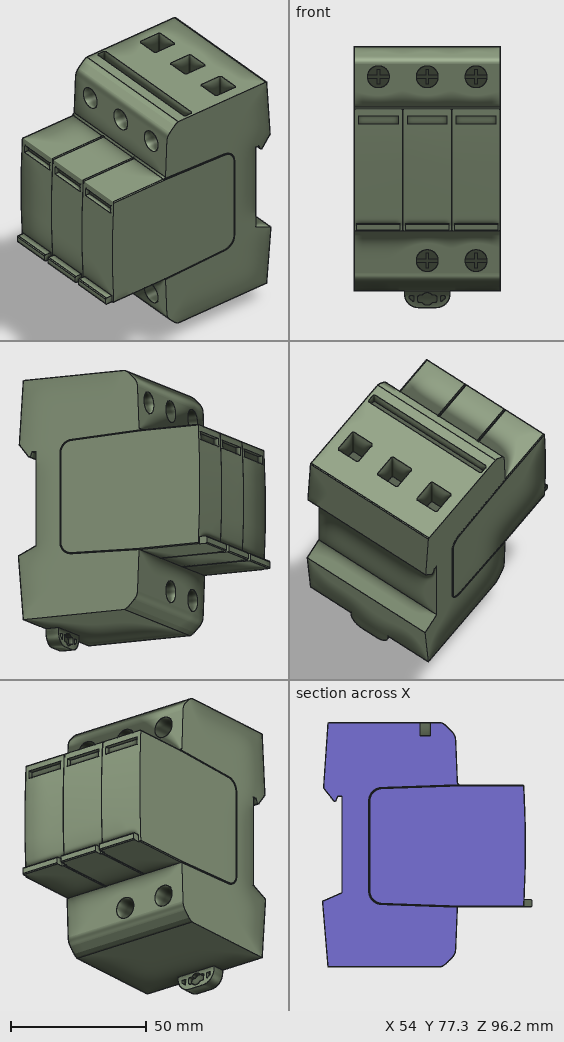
import cadquery as cq


POLES = 3
PITCH = 18.0
WIDTH = POLES * PITCH
HEIGHT = 96.2
BASE_BOTTOM = 6.3
BASE_MID = (HEIGHT + BASE_BOTTOM) / 2
BACK = 5.2
BACK_BEVEL_REACH = 0.5
BACK_BEVEL_DROP = 0.2
TOP_BACK_CORNER_Z = 72.2
TOP_BACK_CORNER_Y = 6.8
LOW_BACK_CORNER_Z = 30.4
LOW_BACK_CORNER_Y = 7.2
HOOK_Y = 2.5
HOOK_Z = 66.7
HOOK_NOTCH_Y = 1.5
HOOK_TIP_RADIUS = 0.6
RAIL_TOP = 69.1
RAIL_BOTTOM = 33.6
FRONT_MID = -43.5
SHOULDER_TOP_Y = -36.6
SHOULDER_Y = -41.9
SHOULDER_DROP = 4.6
SHOULDER_FRONT_RADIUS = 4.8
SHOULDER_FACETS = [(0.5, 0.2), (1.7, 1.1)]

MODULE_BACK = -9.9
MODULE_FRONT = -67.0
MODULE_CROWN = 0.7
MODULE_KNEE_Y = -42.5
MODULE_TOP = 73.2
MODULE_BOTTOM = 28.3
MODULE_MID = (MODULE_TOP + MODULE_BOTTOM) / 2
MODULE_BACK_NARROWING = 1.2
MODULE_BACK_RADIUS = 4.8
MODULE_EDGE = 0.4
MODULE_BROW_RADIUS = 0.43
MODULE_GAP = 0.1

LEDGE_DEPTH = 0.8
LEDGE_HEIGHT = 0.8

WINDOW_WIDTH = 14.7
WINDOW_TOP = 70.7
WINDOW_BOTTOM = 67.65
WINDOW_DEPTH = 1.6
LIP_WIDTH = 16.1
LIP_HEIGHT = 2.8
LIP_FRONT = -70.1
LIP_EDGE = 0.4

SCREW_OFFSET = 33.9
BORE_DIAMETER = 8.1
SCREW_HEAD_Y = -24.1
BLADE_SLOT_HEIGHT = 1.3
CROSS_SLOT_WIDTH = 1.1
CROSS_SLOT_HEIGHT = 5.5
SCREW_SLOT_DEPTH = 1.0

WIRE_PORT_X = 9.2
WIRE_PORT_Y = 9.5
WIRE_PORT_CENTER_Y = -10.5
WIRE_PORT_DEPTH = 14.4
WIRE_PORT_RADIUS = 0.8
LABEL_GROOVE_LENGTH = 51.7
LABEL_GROOVE_WIDTH = 3.8
LABEL_GROOVE_CENTER_X = -0.1
LABEL_GROOVE_CENTER_Y = -30.7
LABEL_GROOVE_DEPTH = 4.8
LABEL_GROOVE_RADIUS = 0.8

TAB_WIDTH = 16.8
TAB_RADIUS = 5.2
TAB_RECESS_DEPTH = 1.9
TAB_SLOT_WIDTH = 7.1
TAB_SLOT_HEIGHT = 2.7
TAB_SLOT_RADIUS = 0.8
TAB_HOLE_RADIUS = 2.3
TAB_HOLE_Z = 3.3
EYE_INNER_X = 4.9
EYE_OUTER_X = 6.6
EYE_TOP = 4.4
EYE_SIDE_BOTTOM = 3.5
EYE_BOTTOM = 2.0
EYE_RADIUS = 0.3

pole_centers = [(i - (POLES - 1) / 2) * PITCH for i in range(POLES)]


def extrude_across_base(points):
    """Extrude a closed (Y, Z) outline over the full width of the base."""
    plane = cq.Workplane("YZ").workplane(offset=-WIDTH / 2)
    return plane.polyline(points).close().extrude(WIDTH)


def box_between(center_x, width, y_range, z_range):
    """Box centred on center_x that spans the given Y and Z ranges."""
    y_min, y_max = y_range
    z_min, z_max = z_range
    corner = (center_x - width / 2, y_min, z_min)
    return cq.Workplane("XY").box(width, y_max - y_min, z_max - z_min, centered=False).translate(corner)


def edges_at(solid, y, z):
    """Edges parallel to X that pass through the (Y, Z) point."""
    near = 0.05
    low = (-WIDTH, y - near, z - near)
    high = (WIDTH, y + near, z + near)
    return solid.edges("|X").edges(cq.selectors.BoxSelector(low, high))


def make_base():
    shoulder_top_z = HEIGHT - SHOULDER_DROP
    shoulder_bottom_z = BASE_BOTTOM + SHOULDER_DROP
    bottom_facets = [(SHOULDER_TOP_Y - reach, BASE_BOTTOM + drop) for reach, drop in SHOULDER_FACETS]
    top_facets = [(SHOULDER_TOP_Y - reach, HEIGHT - drop) for reach, drop in reversed(SHOULDER_FACETS)]
    base = extrude_across_base(
        [
            (BACK - BACK_BEVEL_REACH, HEIGHT),
            (BACK, HEIGHT - BACK_BEVEL_DROP),
            (TOP_BACK_CORNER_Y, TOP_BACK_CORNER_Z),
            (HOOK_Y, HOOK_Z),
            (HOOK_NOTCH_Y, RAIL_TOP),
            (0, RAIL_TOP),
            (0, RAIL_BOTTOM),
            (LOW_BACK_CORNER_Y, LOW_BACK_CORNER_Z),
            (BACK, BASE_BOTTOM),
            (SHOULDER_TOP_Y, BASE_BOTTOM),
            *bottom_facets,
            (SHOULDER_Y, shoulder_bottom_z),
            (FRONT_MID, BASE_MID),
            (SHOULDER_Y, shoulder_top_z),
            *top_facets,
            (SHOULDER_TOP_Y, HEIGHT),
        ]
    )
    base = edges_at(base, HOOK_Y, HOOK_Z).fillet(HOOK_TIP_RADIUS)
    for z in (shoulder_top_z, shoulder_bottom_z):
        base = edges_at(base, SHOULDER_Y, z).fillet(SHOULDER_FRONT_RADIUS)
    return base


def make_ledge():
    return extrude_across_base(
        [
            (MODULE_KNEE_Y, MODULE_TOP),
            (MODULE_KNEE_Y - LEDGE_DEPTH, MODULE_TOP),
            (MODULE_KNEE_Y, MODULE_TOP + LEDGE_HEIGHT),
        ]
    )


def make_module_blank(width, center_x=0.0):
    """Module block: rounded, narrowing back and a slightly crowned front."""
    back_top = MODULE_TOP - MODULE_BACK_NARROWING
    back_bottom = MODULE_BOTTOM + MODULE_BACK_NARROWING
    blank = (
        cq.Workplane("YZ")
        .workplane(offset=center_x - width / 2)
        .moveTo(MODULE_FRONT, MODULE_TOP)
        .lineTo(MODULE_KNEE_Y, MODULE_TOP)
        .lineTo(MODULE_BACK, back_top)
        .lineTo(MODULE_BACK, back_bottom)
        .lineTo(MODULE_KNEE_Y, MODULE_BOTTOM)
        .lineTo(MODULE_FRONT, MODULE_BOTTOM)
        .threePointArc((MODULE_FRONT - MODULE_CROWN, MODULE_MID), (MODULE_FRONT, MODULE_TOP))
        .close()
        .extrude(width)
    )
    for z in (back_top, back_bottom):
        blank = edges_at(blank, MODULE_BACK, z).fillet(MODULE_BACK_RADIUS)
    return blank


def make_module(center_x):
    module = make_module_blank(PITCH, center_x)
    side_rims = module.faces("<X or >X").edges()
    front_rims = cq.selectors.BoxSelector(
        (-WIDTH, MODULE_FRONT - MODULE_CROWN, MODULE_BOTTOM),
        (WIDTH, MODULE_FRONT, MODULE_TOP),
    )
    module = side_rims.edges(cq.selectors.InverseSelector(front_rims)).chamfer(MODULE_EDGE)
    module = edges_at(module, MODULE_FRONT, MODULE_TOP).fillet(MODULE_BROW_RADIUS)

    window_range = (MODULE_FRONT - MODULE_CROWN, MODULE_FRONT + WINDOW_DEPTH)
    window = box_between(center_x, WINDOW_WIDTH, window_range, (WINDOW_BOTTOM, WINDOW_TOP))
    lip_range = (LIP_FRONT, MODULE_FRONT + LIP_EDGE)
    lip = box_between(center_x, LIP_WIDTH, lip_range, (MODULE_BOTTOM, MODULE_BOTTOM + LIP_HEIGHT))
    lip = lip.faces("<Y").edges("|X").chamfer(LIP_EDGE)
    return module.cut(window).union(lip)


def make_screw_bore(center_x, z):
    """Space in front of a screw head, with the head's cross recess."""
    bore_length = SCREW_HEAD_Y - FRONT_MID
    bore = (
        cq.Workplane("XZ", origin=(center_x, SCREW_HEAD_Y, z))
        .circle(BORE_DIAMETER / 2)
        .extrude(bore_length)
    )
    cross = (
        cq.Workplane("XZ", origin=(center_x, SCREW_HEAD_Y, z))
        .rect(CROSS_SLOT_WIDTH, CROSS_SLOT_HEIGHT)
        .extrude(-SCREW_SLOT_DEPTH)
    )
    blade = (
        cq.Workplane("XZ", origin=(center_x, SCREW_HEAD_Y, z))
        .rect(BORE_DIAMETER, BLADE_SLOT_HEIGHT)
        .extrude(-SCREW_SLOT_DEPTH)
        .intersect(bore.translate((0, SCREW_SLOT_DEPTH, 0)))
    )
    return bore.union(cross).union(blade)


def make_top_pocket(center, length_x, length_y, depth, radius):
    """Rounded rectangular pocket opening on the housing top."""
    return (
        cq.Workplane("XY", origin=(*center, HEIGHT - depth))
        .rect(length_x, length_y)
        .extrude(depth)
        .edges("|Z")
        .fillet(radius)
    )


def make_tab():
    tab = box_between(0, TAB_WIDTH, (0, BACK), (0, BASE_BOTTOM))
    tab = tab.edges("|Y and <Z").fillet(TAB_RADIUS)

    recess_plane = cq.Workplane("XZ", origin=(0, 0, TAB_HOLE_Z))
    slot = recess_plane.rect(TAB_SLOT_WIDTH, TAB_SLOT_HEIGHT).extrude(-TAB_RECESS_DEPTH)
    slot = slot.edges("|Y").fillet(TAB_SLOT_RADIUS)
    hole = recess_plane.circle(TAB_HOLE_RADIUS).extrude(-TAB_RECESS_DEPTH)
    tab = tab.cut(slot).cut(hole)
    for side in (-1, 1):
        eye = cq.Workplane("XZ").polyline(
            [
                (side * EYE_INNER_X, EYE_TOP),
                (side * EYE_OUTER_X, EYE_TOP),
                (side * EYE_OUTER_X, EYE_SIDE_BOTTOM),
                (side * EYE_INNER_X, EYE_BOTTOM),
            ]
        )
        eye = eye.close().extrude(-TAB_RECESS_DEPTH).edges("|Y").fillet(EYE_RADIUS)
        tab = tab.cut(eye)
    return tab


result = make_base().union(make_ledge()).cut(make_module_blank(WIDTH))
for pole_x in pole_centers:
    result = result.union(make_module(pole_x))
result = result.union(make_tab())

gap_y_range = (MODULE_FRONT - MODULE_CROWN, MODULE_FRONT + MODULE_EDGE)
for left_x, right_x in zip(pole_centers, pole_centers[1:]):
    gap = box_between((left_x + right_x) / 2, MODULE_GAP, gap_y_range, (MODULE_BOTTOM, MODULE_TOP))
    result = result.cut(gap)

for pole_x in pole_centers:
    result = result.cut(make_screw_bore(pole_x, BASE_MID + SCREW_OFFSET))
for pole_x in pole_centers[1:]:
    result = result.cut(make_screw_bore(pole_x, BASE_MID - SCREW_OFFSET))

for pole_x in pole_centers:
    port_center = (pole_x, WIRE_PORT_CENTER_Y)
    result = result.cut(
        make_top_pocket(port_center, WIRE_PORT_X, WIRE_PORT_Y, WIRE_PORT_DEPTH, WIRE_PORT_RADIUS)
    )
result = result.cut(
    make_top_pocket(
        (LABEL_GROOVE_CENTER_X, LABEL_GROOVE_CENTER_Y),
        LABEL_GROOVE_LENGTH,
        LABEL_GROOVE_WIDTH,
        LABEL_GROOVE_DEPTH,
        LABEL_GROOVE_RADIUS,
    )
)